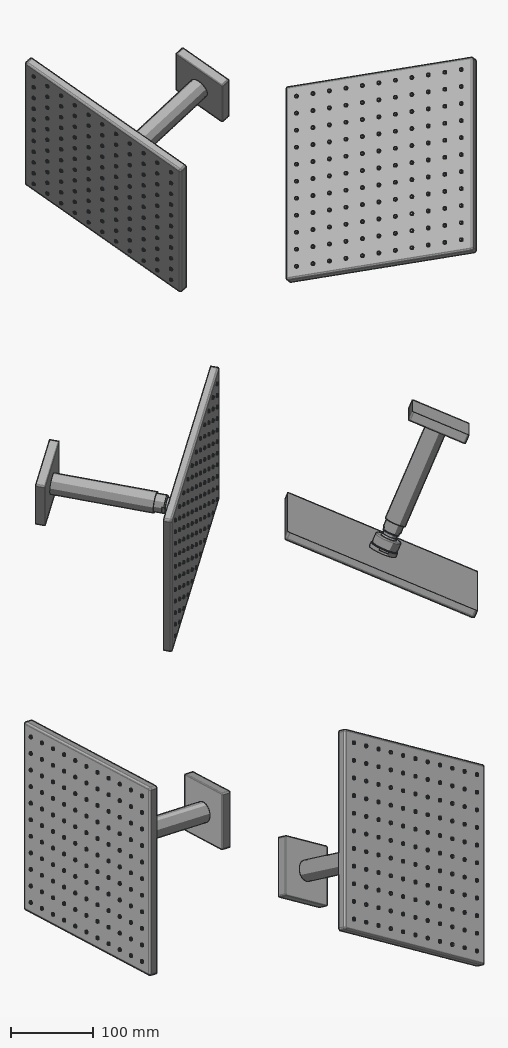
import cadquery as cq


panel_size = 250.0
panel_thickness = 10.6
panel_corner_radius = 3.0
panel_front_radius = 2.5

nozzle_count = 11
nozzle_pitch = 22.0
nozzle_diameter = 4.6
nozzle_height = 2.0
nozzle_tip_chamfer = 0.9

wall_plate_size = 75.0
wall_plate_thickness = 12.0
wall_plate_corner_radius = 2.0
wall_plate_front_radius = 1.0

tube_radius = 13.25
neck_radius = 11.5
throat_radius = 8.8
neck_chamfer = 1.4
flare_radius = 10.0
neck_flat_width = 20.2
neck_flat_length = 4.0

collar_radius = 16.5
collar_rear_radius = 1.5
collar_front_chamfer = 0.4
flange_radius = 17.5
flange_flat_width = 33.0
flange_flat_length = 2.4

overall_depth = 192.6
panel_front = overall_depth - nozzle_height
panel_back = panel_front - panel_thickness
tube_end = 140.6
neck_end = 154.8
throat_end = 158.7
collar_start = 161.2
collar_end = 174.0
flange_start = 174.8


def disc(start, end, radius):
    """Cylinder on the arm axis between two depths."""
    return cq.Workplane("XZ", origin=(0, -start, 0)).circle(radius).extrude(end - start)


def cone(start, end, start_radius, end_radius):
    """Conical frustum on the arm axis between two depths."""
    profile = [(0, -start), (start_radius, -start), (end_radius, -end), (0, -end)]
    return cq.Workplane("XY").polyline(profile).close().revolve(360, (0, 0), (0, 1))


def square_plate(back, thickness, size, corner_radius, front_radius):
    """Square plate with rounded corners and a rounded front rim."""
    plate = cq.Workplane("XZ", origin=(0, -back, 0)).rect(size, size).extrude(thickness)
    return plate.edges("|Y").fillet(corner_radius).faces("<Y").edges().fillet(front_radius)


def nozzles():
    """Square grid of chamfered nozzles on the panel front."""
    return (
        cq.Workplane("XZ", origin=(0, -panel_front, 0))
        .rarray(nozzle_pitch, nozzle_pitch, nozzle_count, nozzle_count)
        .circle(nozzle_diameter / 2)
        .extrude(nozzle_height)
        .faces("<Y")
        .edges()
        .chamfer(nozzle_tip_chamfer)
    )


def neck():
    """Reduced neck with a chamfered end and two wrench flats facing +X and -X."""
    body = disc(tube_end, neck_end, neck_radius).faces("<Y").edges().chamfer(neck_chamfer)
    flat_start = neck_end - neck_flat_length
    plain_part = disc(tube_end, flat_start, neck_radius)
    flat_part = (
        cq.Workplane("XZ", origin=(0, -flat_start, 0))
        .rect(neck_flat_width, 2 * neck_radius)
        .extrude(neck_flat_length)
    )
    return body.intersect(plain_part.union(flat_part))


def collar():
    """Collar nut with a rounded rear rim, a chamfered front rim and a shallow groove ahead of it."""
    body = disc(collar_start, collar_end, collar_radius)
    body = body.faces(">Y").edges().fillet(collar_rear_radius)
    body = body.faces("<Y").edges().chamfer(collar_front_chamfer)
    groove = disc(collar_end, flange_start, collar_radius - collar_front_chamfer)
    return body.union(groove)


def flange():
    """Flange on the panel back with two flats facing +Z and -Z."""
    flat_end = flange_start + flange_flat_length
    flat_part = disc(flange_start, flat_end, flange_radius).intersect(
        cq.Workplane("XZ", origin=(0, -flange_start, 0))
        .rect(2 * flange_radius, flange_flat_width)
        .extrude(flange_flat_length)
    )
    return flat_part.union(disc(flat_end, panel_back, flange_radius))


wall_plate = square_plate(
    0, wall_plate_thickness, wall_plate_size, wall_plate_corner_radius, wall_plate_front_radius
)
panel = square_plate(
    panel_back, panel_thickness, panel_size, panel_corner_radius, panel_front_radius
)

result = (
    wall_plate.union(disc(wall_plate_thickness, tube_end, tube_radius))
    .union(neck())
    .union(disc(neck_end, throat_end, throat_radius))
    .union(cone(throat_end, collar_start, throat_radius, flare_radius))
    .union(collar())
    .union(flange())
    .union(panel)
    .union(nozzles())
)